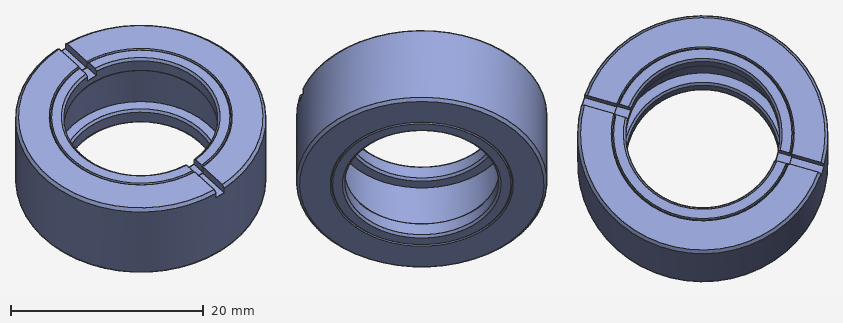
import cadquery as cq

outer_diameter = 26.0
height = 10.0
edge_chamfer = 0.3
ring_outer_diameter = 19.0
middle_bore_diameter = 18.5
ring_bore_diameter = 16.0
ring_thickness = 2.0
slot_width_in_housing = 1.1
slot_depth_in_housing = 1.0
slot_width_in_ring = 1.2
slot_depth_in_ring = 0.9

outer_radius = outer_diameter / 2
ring_radius = ring_outer_diameter / 2
ring_bore_radius = ring_bore_diameter / 2
ring_chamfer = (ring_outer_diameter - middle_bore_diameter) / 2
groove_depth = ring_chamfer / 2


def slot_cutter(width, depth):
    """Bar along X that cuts a straight slot across the top face."""
    return (
        cq.Workplane("XY", origin=(0, 0, height - depth))
        .rect(2 * outer_diameter, width)
        .extrude(2 * depth, combine=False)
    )


def ring_blank():
    """Ring at the bottom end, chamfered on both bore edges and on the outer edge of its exposed face."""
    profile = [
        (ring_bore_radius + ring_chamfer, 0),
        (ring_radius - ring_chamfer, 0),
        (ring_radius, ring_chamfer),
        (ring_radius, ring_thickness),
        (ring_bore_radius + ring_chamfer, ring_thickness),
        (ring_bore_radius, ring_thickness - ring_chamfer),
        (ring_bore_radius, ring_chamfer),
    ]
    return cq.Workplane("XZ").polyline(profile).close().revolve(360, (0, 0), (0, 1))


def at_top(body):
    """Mirror a bottom-end body to the matching place at the top end."""
    return body.mirror("XY", (0, 0, height / 2))


def mouth_cutter():
    """Cone that flares the bottom mouth; with the ring chamfer it leaves a V-groove round the seam."""
    profile = [
        (0, 0),
        (ring_radius, 0),
        (ring_radius - groove_depth, groove_depth),
        (0, groove_depth),
    ]
    return cq.Workplane("XZ").polyline(profile).close().revolve(360, (0, 0), (0, 1))


def make_housing():
    """Sleeve with a matching recess for a ring at each end and a slot across its top."""
    sleeve = (
        cq.Workplane("XY")
        .circle(outer_radius)
        .extrude(height)
        .edges()
        .chamfer(edge_chamfer)
    )
    bore = cq.Workplane("XY").circle(middle_bore_diameter / 2).extrude(height)
    sleeve = sleeve.cut(bore)
    for cutter in (mouth_cutter(), ring_blank()):
        sleeve = sleeve.cut(cutter).cut(at_top(cutter))
    return sleeve.cut(slot_cutter(slot_width_in_housing, slot_depth_in_housing))


def make_rings():
    """Bottom and top rings; only the top one reaches the slot."""
    slot = slot_cutter(slot_width_in_ring, slot_depth_in_ring)
    return [ring.cut(slot) for ring in (ring_blank(), at_top(ring_blank()))]


housing = make_housing()
rings = make_rings()

result = cq.Compound.makeCompound([housing.solids().val(), *[ring.solids().val() for ring in rings]])